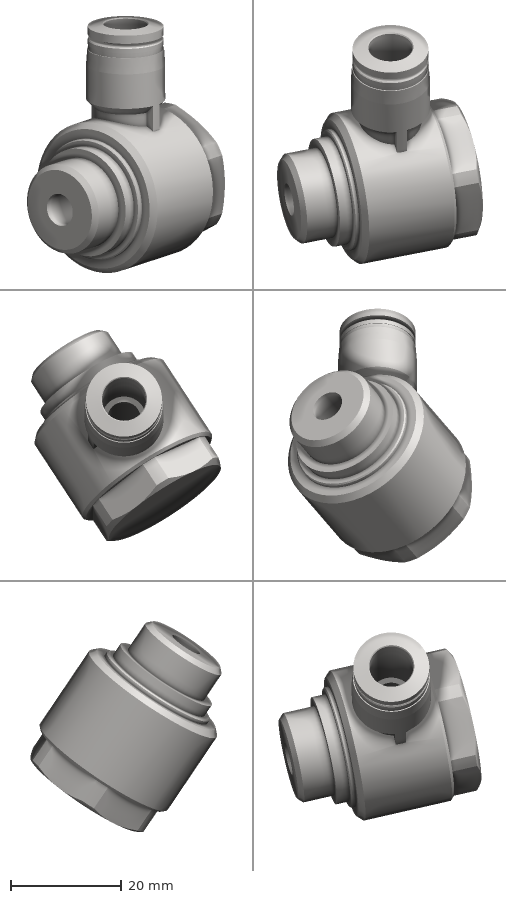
import cadquery as cq

body_diameter = 28.0
body_back = 8.4
body_front = -9.35
body_front_chamfer = 1.05
body_back_chamfer = 0.55

washer_diameter = 22.4
washer_front = -10.25
washer_chamfer = 0.22
collar_diameter = 20.0
collar_front = -12.65
thread_diameter = 16.65
thread_front = -19.25
thread_chamfer = 0.9

hex_across_flats = 24.08
hex_corner_diameter = 26.45
hex_back = 13.85
hex_chamfer_length = 0.8

stem_top = 31.0
release_ring_diameter = 13.8
release_ring_bottom = 29.02
release_dome_height = 0.45
release_neck_diameter = 9.8
release_neck_flare_diameter = 10.0
release_neck_flare_height = 0.2
sleeve_top = 28.25
sleeve_diameter = 13.8
sleeve_chamfer = 0.2
sleeve_step_height = 27.22
sleeve_step_diameter = 13.65
taper_top = 26.32
taper_top_diameter = 14.0
taper_bottom = 23.35
stem_diameter = 14.4
stem_neck_diameter = 11.4
shoulder_top = 16.88
shoulder_bottom = shoulder_top - (stem_diameter - stem_neck_diameter) / 2
rib_width = 1.95

flow_diameter = 6.0
tube_diameter = 8.0
tube_stop = shoulder_top
tube_chamfer = 0.2
mouth_diameter = tube_diameter + 2 * tube_chamfer


def cylinder_along_y(diameter, front, back):
    """Solid cylinder on the Y axis between two Y positions."""
    return cq.Workplane("XZ", origin=(0, back, 0)).circle(diameter / 2).extrude(back - front)


def make_banjo_body():
    body = cylinder_along_y(body_diameter, body_front, body_back)
    body = body.faces("<Y").chamfer(body_front_chamfer)
    return body.faces(">Y").chamfer(body_back_chamfer)


def make_threaded_end():
    washer = cylinder_along_y(washer_diameter, washer_front, 0).faces("<Y").chamfer(washer_chamfer)
    collar = cylinder_along_y(collar_diameter, collar_front, 0)
    thread = cylinder_along_y(thread_diameter, thread_front, 0).faces("<Y").chamfer(thread_chamfer)
    return washer.union(collar).union(thread)


def make_hex_head():
    """Hexagon with flats on +X and -X, its corners turned down and its back edge coned."""
    plane = cq.Workplane("XZ", origin=(0, hex_back, 0))
    prism = plane.polygon(6, hex_across_flats, circumscribed=True).extrude(hex_back)
    corner_drop = (hex_corner_diameter - hex_across_flats) / 2
    envelope = cylinder_along_y(hex_corner_diameter, 0, hex_back)
    envelope = envelope.faces(">Y").chamfer(hex_chamfer_length, corner_drop)
    return prism.intersect(envelope)


def make_stem():
    """Revolved stem from the bore crossing up to the release ring."""
    profile = [
        (0, 0),
        (stem_neck_diameter / 2, 0),
        (stem_neck_diameter / 2, shoulder_bottom),
        (stem_diameter / 2, shoulder_top),
        (stem_diameter / 2, taper_bottom),
        (taper_top_diameter / 2, taper_top),
        (sleeve_step_diameter / 2, taper_top),
        (sleeve_step_diameter / 2, sleeve_step_height),
        (sleeve_diameter / 2, sleeve_step_height),
        (sleeve_diameter / 2, sleeve_top - sleeve_chamfer),
        (sleeve_diameter / 2 - sleeve_chamfer, sleeve_top),
        (release_neck_diameter / 2, sleeve_top),
        (release_neck_diameter / 2, release_ring_bottom - release_neck_flare_height),
        (release_neck_flare_diameter / 2, release_ring_bottom),
        (release_ring_diameter / 2, release_ring_bottom),
        (release_ring_diameter / 2, stem_top - release_dome_height),
        (mouth_diameter / 2, stem_top),
        (0, stem_top),
    ]
    return cq.Workplane("XZ").polyline(profile).close().revolve(360, (0, 0), (0, 1))


def make_side_ribs():
    """Pair of ribs under the stem shoulder, rounded to the stem's outside."""
    plate = cq.Workplane("XY").rect(stem_diameter, rib_width).extrude(shoulder_top)
    return plate.intersect(cq.Workplane("XY").circle(stem_diameter / 2).extrude(shoulder_top))


def make_bores():
    """Elbow passage with a ball-shaped corner, widened at the top for the tube."""
    front_bore = cylinder_along_y(flow_diameter, thread_front, 0)
    stem_bore = cq.Workplane("XY").circle(flow_diameter / 2).extrude(stem_top)
    corner = cq.Workplane("XY").sphere(flow_diameter / 2)
    tube = cq.Workplane("XY", origin=(0, 0, tube_stop)).circle(tube_diameter / 2)
    tube = tube.extrude(stem_top - tube_stop)
    mouth = cq.Workplane("XY", origin=(0, 0, stem_top)).circle(mouth_diameter / 2)
    mouth = mouth.extrude(-tube_chamfer, taper=45)
    return front_bore.union(stem_bore).union(corner).union(tube).union(mouth)


result = make_banjo_body().union(make_threaded_end()).union(make_hex_head())
result = result.union(make_stem()).union(make_side_ribs()).cut(make_bores())